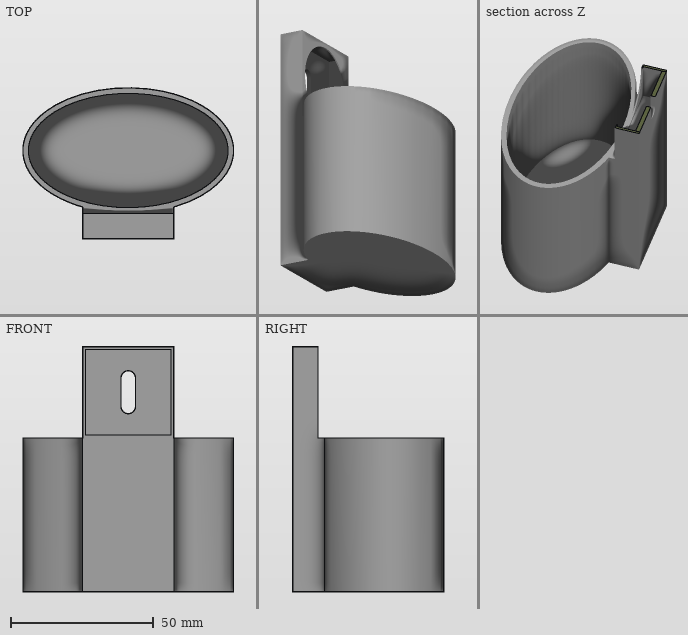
import cadquery as cq

CUP_LENGTH = 74.0
CUP_WIDTH = 44.0
CUP_HEIGHT = 54.0
WALL = 2.0
FLOOR = 4.0

POST_WIDTH = 32.0
POST_DEPTH = 8.95
POST_HEIGHT = 86.0
POST_BACK_Y = -CUP_WIDTH / 2
POST_FRONT_Y = POST_BACK_Y - POST_DEPTH

PLATE_MARGIN = 1.0
PLATE_SIDE = POST_WIDTH - 2 * PLATE_MARGIN
PLATE_THICKNESS = 1.7
PLATE_CENTRE_Z = POST_HEIGHT - PLATE_MARGIN - PLATE_SIDE / 2
SLOT_WIDTH = 5.0
SLOT_HEIGHT = 15.0

BORE_DIAMETER = 28.3
BACK_LIP = 0.5
POCKET_DEPTH = POST_DEPTH - BACK_LIP


def ellipse_prism(length, width, bottom, top):
    """Upright elliptical prism between two heights."""
    return (
        cq.Workplane("XY", origin=(0, 0, bottom))
        .ellipse(length / 2, width / 2)
        .extrude(top - bottom)
    )


def front_plane():
    """Sketch plane at the plate centre; positive extrusion runs toward -Y."""
    return cq.Workplane("XZ", origin=(0, POST_FRONT_Y, PLATE_CENTRE_Z))


def square_block(depth):
    """Square block with the plate outline, reaching back from the post front."""
    return front_plane().rect(PLATE_SIDE, PLATE_SIDE).extrude(-depth)


def make_holder():
    """Cup and post in one piece, with the square pocket and the round opening behind it."""
    cup = ellipse_prism(CUP_LENGTH, CUP_WIDTH, 0, CUP_HEIGHT)
    cavity = ellipse_prism(CUP_LENGTH - 2 * WALL, CUP_WIDTH - 2 * WALL, FLOOR, CUP_HEIGHT)
    post = cq.Workplane("XY").box(
        POST_WIDTH, POST_DEPTH, POST_HEIGHT, centered=(True, False, False)
    ).translate((0, POST_FRONT_Y, 0))
    bridge = cq.Workplane("XY").box(
        POST_WIDTH, CUP_WIDTH / 2, CUP_HEIGHT, centered=(True, False, False)
    ).translate((0, POST_BACK_Y, 0))
    pocket = square_block(POCKET_DEPTH)
    bore = front_plane().circle(BORE_DIAMETER / 2).extrude(-POST_DEPTH)
    return cup.union(bridge).union(post).cut(cavity).cut(pocket).cut(bore)


def make_plate():
    """Square plate with an upright slot through its centre."""
    slot = front_plane().slot2D(SLOT_HEIGHT, SLOT_WIDTH, 90).extrude(-PLATE_THICKNESS)
    return square_block(PLATE_THICKNESS).cut(slot)


holder = make_holder()
plate = make_plate()

result = cq.Compound.makeCompound([holder.val(), plate.val()])